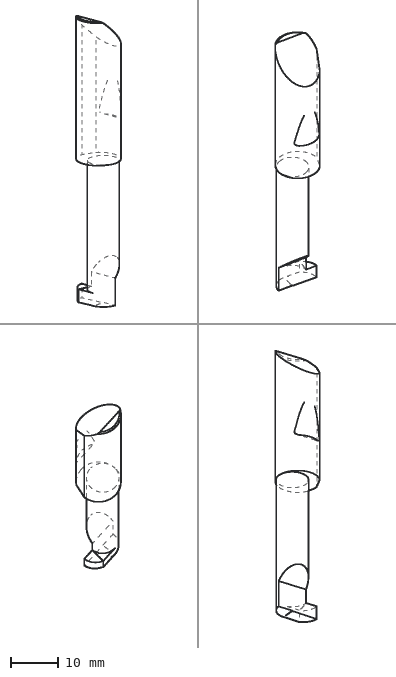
import cadquery as cq
import math

total_length = 63.5
shank_radius = 4.75
shank_bottom = 31.75

bevel_start_y = -3.0
end_chamfer_width = 0.4
end_chamfer_height = 0.2

flat_end_y = 3.2

notch_bottom = 40.3
notch_top = 49.5
notch_depth = 1.3
notch_corner_radius = 0.75

neck_radius = 3.4
neck_center_x = shank_radius - neck_radius
neck_bottom = 0.25
relief_top_at_center = 6.35

head_top = 3.1
head_curve_radius = 3.55
head_corner_x = -2.6
head_corner_chamfer = 0.25
head_bottom_rise = 0.1
head_bottom_tilt = 1.5
head_top_drop = 0.2


def make_shank():
    """Cylinder with a chamfered upper end."""
    shank = cq.Workplane("XY").workplane(offset=shank_bottom).circle(shank_radius)
    shank = shank.extrude(total_length - shank_bottom)
    return shank.faces(">Z").edges().chamfer(end_chamfer_height, end_chamfer_width)


def side_profile(points):
    """Prism through the whole width from (y, z) points."""
    return cq.Workplane("YZ").polyline(points).close().extrude(2 * shank_radius, both=True)


def make_end_bevel():
    bevel_rise = shank_radius - bevel_start_y
    return side_profile([
        (bevel_start_y, total_length),
        (shank_radius, total_length - bevel_rise),
        (shank_radius, total_length),
    ])


def make_side_flat():
    """Block beyond the chord that cuts the flat."""
    half_angle = math.asin(flat_end_y / shank_radius) / 2
    chord_distance = shank_radius * math.cos(half_angle)
    block = cq.Workplane("XY").box(shank_radius, 2 * shank_radius, 2 * total_length)
    block = block.translate((chord_distance + shank_radius / 2, 0, 0))
    return block.rotate((0, 0, 0), (0, 0, 1), 180 - math.degrees(half_angle))


def make_notch():
    """Sloped notch whose deep lower corner is rounded."""
    floor_y = shank_radius - notch_depth
    notch = side_profile([
        (shank_radius, notch_bottom),
        (floor_y, notch_bottom),
        (shank_radius, notch_top),
    ])
    return notch.edges("|X").edges("<Y").fillet(notch_corner_radius)


def make_neck():
    neck = cq.Workplane("XY").workplane(offset=neck_bottom).center(neck_center_x, 0)
    return neck.circle(neck_radius).extrude(shank_bottom - neck_bottom)


def make_neck_relief():
    """Removes the +Y half of the neck below a 45 degree ramp."""
    return side_profile([
        (0, 0),
        (0, relief_top_at_center),
        (neck_radius, relief_top_at_center + neck_radius),
        (neck_radius, 0),
    ])


def make_bottom_clearance():
    """Wedge that leaves the head lowest at its outer rake corner."""
    below = -shank_radius
    wedge = side_profile([
        (0, 0),
        (-shank_radius, head_bottom_rise * shank_radius / neck_radius),
        (-shank_radius, below),
        (0, below),
    ])
    return wedge.rotate((-shank_radius, 0, 0), (-shank_radius, 1, 0), -head_bottom_tilt)


def make_top_clearance():
    """Slope on the head's top, outside a line from the neck to the front corner."""
    neck_side_x = neck_center_x - neck_radius
    outside = (
        cq.Workplane("XY")
        .polyline([
            (neck_side_x, 0),
            (head_corner_x, -neck_radius),
            (-shank_radius, -neck_radius),
            (-shank_radius, 0),
        ])
        .close()
        .extrude(shank_radius)
    )
    slope = side_profile([
        (0, head_top),
        (-neck_radius, head_top),
        (-neck_radius, head_top - head_top_drop),
    ])
    return slope.intersect(outside)


def make_head():
    """Curved cutting head with its rake face on Y = 0."""
    curve_center_x = head_curve_radius - shank_radius
    curve_end_x = head_corner_x - head_corner_chamfer
    curve_end_y = -neck_radius + head_corner_chamfer
    end_angle = math.atan2(curve_end_y, curve_end_x - curve_center_x)
    mid_angle = (end_angle - math.pi) / 2
    mid_point = (
        curve_center_x + head_curve_radius * math.cos(mid_angle),
        head_curve_radius * math.sin(mid_angle),
    )
    head = (
        cq.Workplane("XY")
        .moveTo(-shank_radius, 0)
        .threePointArc(mid_point, (curve_end_x, curve_end_y))
        .lineTo(head_corner_x, -neck_radius)
        .lineTo(neck_center_x, -neck_radius)
        .lineTo(neck_center_x, 0)
        .close()
        .extrude(head_top)
    )
    return head.cut(make_bottom_clearance()).cut(make_top_clearance())


shank = make_shank().cut(make_side_flat()).cut(make_end_bevel()).cut(make_notch())
neck = make_neck().cut(make_neck_relief())
result = shank.union(neck).union(make_head())